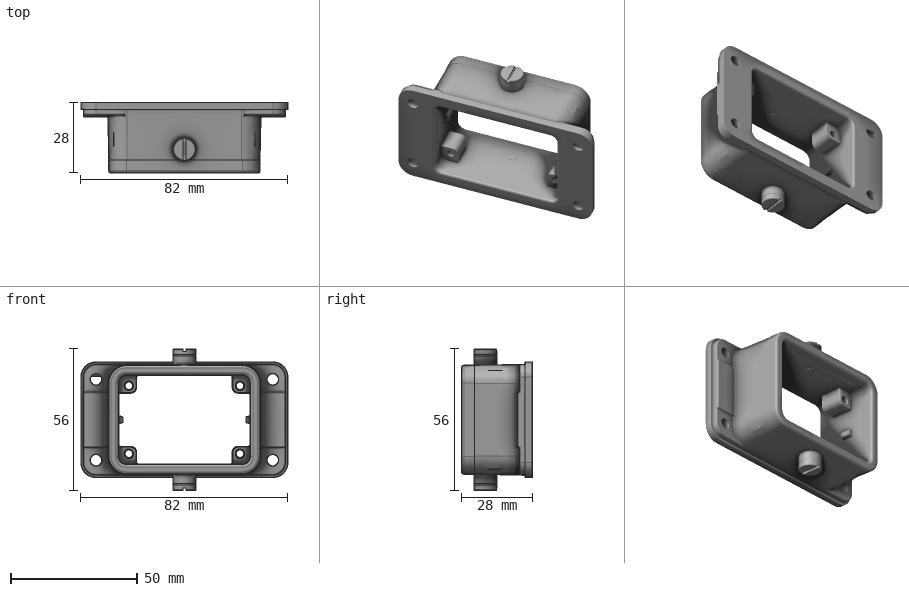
import cadquery as cq
import math


FLANGE_LENGTH = 82.0
FLANGE_HEIGHT = 45.8
FLANGE_THICKNESS = 2.8
FLANGE_CORNER_RADIUS = 6.0

PAD_MARGIN = 1.0
PAD_LENGTH = FLANGE_LENGTH - 2 * PAD_MARGIN
PAD_HEIGHT = FLANGE_HEIGHT - 2 * PAD_MARGIN
PAD_CORNER_RADIUS = FLANGE_CORNER_RADIUS - PAD_MARGIN
PAD_DEPTH = 5.0
PAD_EDGE_FILLET = 0.4

PLATEAU_DEPTH = 5.75
PLATEAU_HALF_HEIGHT = 11.0
PLATEAU_STEP_FILLET = 0.35

MOUNT_HOLE_DIAMETER = 4.5
MOUNT_HOLE_X = 35.0
MOUNT_HOLE_Z = 16.0
HOLE_WEB_THICKNESS = 1.0
HOLE_WEB_OFFSET = 1.1

TOTAL_DEPTH = 28.0
BAND_LENGTH = 60.0
BAND_HEIGHT = 43.2
BAND_CORNER_RADIUS = 7.0
BAND_START_DEPTH = 22.9
WALL = 4.0
RIM_OUTER_FILLET = 1.0
RIM_INNER_FILLET = 1.1

BODY_DRAFT = 0.45
BODY_CORNER_RADIUS = 7.7
BAND_STEP = 0.05
BODY_ROOT_FILLET = 0.5

CAVITY_LENGTH = BAND_LENGTH - 2 * WALL
CAVITY_HEIGHT = BAND_HEIGHT - 2 * WALL
CAVITY_CORNER_RADIUS = BAND_CORNER_RADIUS - WALL
CAVITY_REAR_FILLET = 1.0
ENTRY_DEPTH = BAND_START_DEPTH
ENTRY_STEP = 0.1

POST_REAR_DEPTH = 7.8
POST_FRONT_DEPTH = 17.3
POST_INNER_X = 18.9
POST_INNER_Z = 10.5
POST_CORNER_RADIUS = 2.5
POST_ROOT_FILLET = 0.7
POST_FRONT_CHAMFER = 0.3
POST_HOLE_X = 22.0
POST_HOLE_Z = 13.45
POST_HOLE_DIAMETER = 3.0
POST_HOLE_CHAMFER = 0.35

TAB_REAR_DEPTH = 13.0
TAB_TIP_X = 24.3
TAB_ROOT_HEIGHT = 3.2
TAB_TIP_HEIGHT = 2.2
TAB_TIP_FILLET = 0.6

SCREW_DEPTH = 18.6
SCREW_DIAMETER = 9.1
SCREW_TOP_Z = 28.0
SCREW_GROOVE_BOTTOM_Z = 25.3
SCREW_GROOVE_TOP_Z = 25.85
SCREW_GROOVE_DEPTH = 0.1
SCREW_HEAD_FILLET = 0.4
SCREW_SLOT_WIDTH = 1.1
SCREW_SLOT_DEPTH = 0.9
SCREW_PIN_DIAMETER = 3.0
SCREW_PIN_PROUD = 0.1

TOLERANCE = 0.01
PLATE_SIZE = 2 * FLANGE_LENGTH


def rounded_rectangle(length, height, radius):
    return cq.Sketch().rect(length, height).vertices().fillet(radius)


def at_depth(depth):
    """Workplane parallel to the mounting face, facing the open front."""
    return cq.Workplane("XZ", origin=(0, -depth, 0))


def rounded_block(length, height, radius, start, end):
    return at_depth(start).placeSketch(rounded_rectangle(length, height, radius)).extrude(end - start)


def corner_points(x, z):
    return [(sx * x, sz * z) for sx in (-1, 1) for sz in (-1, 1)]


def make_flange():
    return rounded_block(FLANGE_LENGTH, FLANGE_HEIGHT, FLANGE_CORNER_RADIUS, 0, FLANGE_THICKNESS)


def is_pad_rim(edge):
    """True for the pad's front edges along its outline."""
    center = edge.Center()
    beyond_steps = abs(center.z) > PLATEAU_HALF_HEIGHT + 2 * PLATEAU_STEP_FILLET
    at_end = abs(center.x) > PAD_LENGTH / 2 - PAD_CORNER_RADIUS
    return center.y < TOLERANCE - PAD_DEPTH and (beyond_steps or at_end)


def is_plateau_step(edge):
    """True for the long edges where the plateau rises from the pad."""
    center = edge.Center()
    along_x = edge.BoundingBox().xlen > PAD_LENGTH / 2
    return along_x and abs(abs(center.z) - PLATEAU_HALF_HEIGHT) < TOLERANCE


def fillet_where(part, radius, condition):
    return part.newObject([e for e in part.edges().vals() if condition(e)]).fillet(radius)


def make_pad():
    pad = rounded_block(PAD_LENGTH, PAD_HEIGHT, PAD_CORNER_RADIUS, 0, PAD_DEPTH)
    plateau = at_depth(0).rect(PAD_LENGTH, 2 * PLATEAU_HALF_HEIGHT).extrude(PLATEAU_DEPTH)
    pad = pad.union(plateau)
    pad = fillet_where(pad, PLATEAU_STEP_FILLET, is_plateau_step)
    return fillet_where(pad, PAD_EDGE_FILLET, is_pad_rim)


def make_body():
    """Hood wall, drafted from the flange down to the front band."""
    draft_depth = BAND_START_DEPTH - FLANGE_THICKNESS
    draft_angle = math.degrees(math.atan(BODY_DRAFT / draft_depth))
    growth = BODY_DRAFT - BAND_STEP
    base = rounded_rectangle(BAND_LENGTH + 2 * growth, BAND_HEIGHT + 2 * growth, BODY_CORNER_RADIUS)
    return at_depth(FLANGE_THICKNESS).placeSketch(base).extrude(draft_depth, taper=draft_angle)


def make_root_flare(body, depth):
    """Concave fillet ring where the body rises from a flat face at the given depth."""
    plate = at_depth(0).rect(PLATE_SIZE, PLATE_SIZE).extrude(depth)
    flared = plate.union(body)
    plate_face_zone = cq.selectors.BoxSelector(
        (-PLATE_SIZE, TOLERANCE - depth, -PLATE_SIZE),
        (PLATE_SIZE, -TOLERANCE - depth, PLATE_SIZE),
    )
    root = flared.faces(plate_face_zone)
    flared = root.wires(cq.selectors.LengthNthSelector(0)).edges().fillet(BODY_ROOT_FILLET)
    return flared.cut(plate)


def make_body_roots(body):
    """Root fillets on the pad and, a step higher, on the label plateau."""
    pad_outline = rounded_block(PAD_LENGTH, PAD_HEIGHT, PAD_CORNER_RADIUS, 0, TOTAL_DEPTH)
    plateau_zone = at_depth(0).rect(PAD_LENGTH, 2 * PLATEAU_HALF_HEIGHT).extrude(TOTAL_DEPTH)
    pad_root = make_root_flare(body, PAD_DEPTH).intersect(pad_outline)
    plateau_root = make_root_flare(body, PLATEAU_DEPTH).intersect(plateau_zone)
    return pad_root.union(plateau_root)


def make_band():
    band = rounded_block(BAND_LENGTH, BAND_HEIGHT, BAND_CORNER_RADIUS, BAND_START_DEPTH, TOTAL_DEPTH)
    return band.faces("<Y").edges().fillet(RIM_OUTER_FILLET)


def cut_cavity(part):
    cavity = rounded_block(CAVITY_LENGTH, CAVITY_HEIGHT, CAVITY_CORNER_RADIUS, 0, TOTAL_DEPTH)
    entry = rounded_block(
        CAVITY_LENGTH + 2 * ENTRY_STEP,
        CAVITY_HEIGHT + 2 * ENTRY_STEP,
        CAVITY_CORNER_RADIUS + ENTRY_STEP,
        ENTRY_DEPTH,
        TOTAL_DEPTH,
    )
    part = part.cut(cavity).cut(entry)
    rim = part.faces("<Y").wires(cq.selectors.LengthNthSelector(0))
    part = rim.edges().fillet(RIM_INNER_FILLET)
    mouth = part.faces(">Y").wires(cq.selectors.LengthNthSelector(0))
    return mouth.edges().fillet(CAVITY_REAR_FILLET)


def cut_mount_holes(part):
    """Through holes in the flange; the upper -X hole keeps a thin web across its top."""
    holes = (
        at_depth(0)
        .pushPoints(corner_points(MOUNT_HOLE_X, MOUNT_HOLE_Z))
        .circle(MOUNT_HOLE_DIAMETER / 2)
        .extrude(PLATEAU_DEPTH)
    )
    web_height = MOUNT_HOLE_DIAMETER / 2 - HOLE_WEB_OFFSET
    web = (
        at_depth(0)
        .center(-MOUNT_HOLE_X, MOUNT_HOLE_Z + HOLE_WEB_OFFSET + web_height / 2)
        .rect(MOUNT_HOLE_DIAMETER, web_height)
        .extrude(HOLE_WEB_THICKNESS)
    )
    return part.cut(holes.cut(web))


def is_post_front(edge):
    """True for the free front edges of the post, away from the wall."""
    center = edge.Center()
    at_front = center.y < TOLERANCE - POST_FRONT_DEPTH
    return at_front and center.x < CAVITY_LENGTH / 2 and center.z < CAVITY_HEIGHT / 2


def make_post(sx, sz):
    """Corner post with a screw hole; it runs into the wall around the cavity corner."""
    outer_x = (CAVITY_LENGTH + WALL) / 2
    outer_z = (CAVITY_HEIGHT + WALL) / 2
    post = (
        at_depth(POST_REAR_DEPTH)
        .moveTo(POST_INNER_X, outer_z)
        .lineTo(POST_INNER_X, POST_INNER_Z + POST_CORNER_RADIUS)
        .radiusArc((POST_INNER_X + POST_CORNER_RADIUS, POST_INNER_Z), -POST_CORNER_RADIUS)
        .lineTo(outer_x, POST_INNER_Z)
        .lineTo(outer_x, outer_z)
        .close()
        .extrude(POST_FRONT_DEPTH - POST_REAR_DEPTH)
    )
    front_edges = [edge for edge in post.edges().vals() if is_post_front(edge)]
    post = post.newObject(front_edges).chamfer(POST_FRONT_CHAMFER)
    if sx < 0:
        post = post.mirror("YZ")
    if sz < 0:
        post = post.mirror("XY")
    return post


def add_posts(part):
    for sx, sz in corner_points(1, 1):
        part = part.union(make_post(sx, sz))
    return part


def is_post_root(edge):
    """True for the lines along Y where a post side meets a cavity wall."""
    center = edge.Center()
    box = edge.BoundingBox()
    along_y = box.xlen < TOLERANCE and box.zlen < TOLERANCE
    on_post_side = abs(abs(center.x) - POST_INNER_X) < TOLERANCE
    on_long_wall = abs(abs(center.z) - CAVITY_HEIGHT / 2) < TOLERANCE
    on_post_edge = abs(abs(center.z) - POST_INNER_Z) < TOLERANCE
    on_end_wall = abs(abs(center.x) - CAVITY_LENGTH / 2) < TOLERANCE
    return along_y and ((on_post_side and on_long_wall) or (on_post_edge and on_end_wall))


def fillet_post_roots(part):
    """Soften the joint lines where the posts meet the cavity walls."""
    return fillet_where(part, POST_ROOT_FILLET, is_post_root)


def cut_post_holes(part):
    points = corner_points(POST_HOLE_X, POST_HOLE_Z)
    radius = POST_HOLE_DIAMETER / 2
    holes = at_depth(0).pushPoints(points).circle(radius).extrude(POST_FRONT_DEPTH)
    mouths = (
        at_depth(POST_FRONT_DEPTH)
        .pushPoints(points)
        .circle(radius + POST_HOLE_CHAMFER)
        .extrude(-POST_HOLE_CHAMFER, taper=45)
    )
    return part.cut(holes).cut(mouths)


def make_tab():
    """Guide tab on the +X cavity wall, tapering toward its rounded tip."""
    root_x = (CAVITY_LENGTH + WALL) / 2
    wall_x = CAVITY_LENGTH / 2
    tab = (
        at_depth(TAB_REAR_DEPTH)
        .polyline([
            (root_x, -TAB_ROOT_HEIGHT / 2),
            (wall_x, -TAB_ROOT_HEIGHT / 2),
            (TAB_TIP_X, -TAB_TIP_HEIGHT / 2),
            (TAB_TIP_X, TAB_TIP_HEIGHT / 2),
            (wall_x, TAB_ROOT_HEIGHT / 2),
            (root_x, TAB_ROOT_HEIGHT / 2),
        ])
        .close()
        .extrude(POST_FRONT_DEPTH - TAB_REAR_DEPTH)
    )
    return tab.faces("<X").edges("|Y").fillet(TAB_TIP_FILLET)


def make_screw():
    """Locking screw on the +Z side: grooved cylinder, slotted head and inner pin end."""
    radius = SCREW_DIAMETER / 2
    wall_inside = CAVITY_HEIGHT / 2
    pin_end = wall_inside - SCREW_PIN_PROUD
    base = cq.Workplane("XY", origin=(0, -SCREW_DEPTH, 0))
    head_base = wall_inside + WALL / 2
    screw = base.workplane(offset=head_base).circle(radius).extrude(SCREW_TOP_Z - head_base)
    screw = screw.faces(">Z").edges().fillet(SCREW_HEAD_FILLET)
    groove = (
        base.workplane(offset=SCREW_GROOVE_BOTTOM_Z)
        .circle(SCREW_DIAMETER)
        .circle(radius - SCREW_GROOVE_DEPTH)
        .extrude(SCREW_GROOVE_TOP_Z - SCREW_GROOVE_BOTTOM_Z)
    )
    slot = (
        base.workplane(offset=SCREW_TOP_Z - SCREW_SLOT_DEPTH)
        .rect(SCREW_SLOT_WIDTH, 2 * SCREW_DIAMETER)
        .extrude(SCREW_SLOT_DEPTH)
    )
    pin = base.workplane(offset=pin_end).circle(SCREW_PIN_DIAMETER / 2).extrude(head_base - pin_end)
    return screw.cut(groove).cut(slot).union(pin)


hood_body = make_body()
result = make_flange().union(make_pad()).union(hood_body)
result = result.union(make_body_roots(hood_body)).union(make_band())
result = cut_cavity(result)
result = cut_mount_holes(result)
result = fillet_post_roots(add_posts(result))
result = cut_post_holes(result)

tab = make_tab()
result = result.union(tab).union(tab.mirror("YZ"))

screw = make_screw()
result = result.union(screw).union(screw.mirror("XY"))